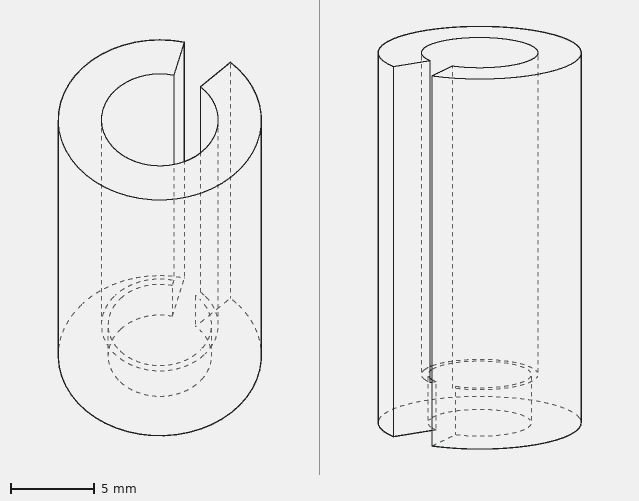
import cadquery as cq
import math

LENGTH = 23.0
OUTER_RADIUS = 6.1
BORE_RADIUS = 3.5
LIP_BORE_RADIUS = 3.1
LIP_HEIGHT = 3.0
SLOT_HALF_ANGLE = 15.0


def make_sleeve():
    """Round sleeve standing on Z = 0, with an inward lip at the bottom of its bore."""
    bar = cq.Workplane("XY").circle(OUTER_RADIUS).extrude(LENGTH)
    lip_bore = cq.Workplane("XY").circle(LIP_BORE_RADIUS).extrude(LENGTH)
    main_bore = (
        cq.Workplane("XY")
        .workplane(offset=LIP_HEIGHT)
        .circle(BORE_RADIUS)
        .extrude(LENGTH - LIP_HEIGHT)
    )
    return bar.cut(lip_bore).cut(main_bore)


def make_slot_wedge():
    """Full-length wedge opening from the axis toward +Y, with radial sides."""
    reach = 2 * OUTER_RADIUS
    half_width = reach * math.tan(math.radians(SLOT_HALF_ANGLE))
    return (
        cq.Workplane("XY")
        .polyline([(0, 0), (half_width, reach), (-half_width, reach)])
        .close()
        .extrude(LENGTH)
    )


result = make_sleeve().cut(make_slot_wedge())